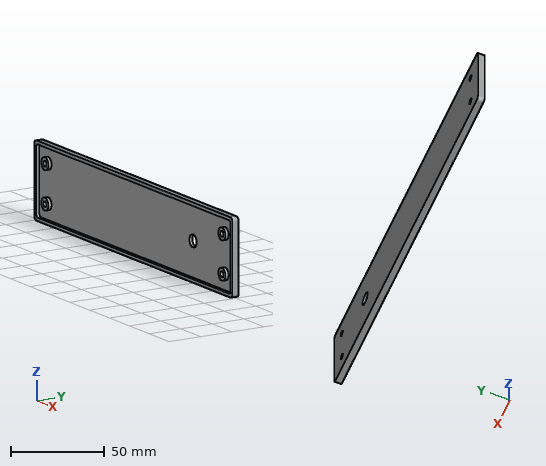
import cadquery as cq

length = 199.6
thickness = 4.0
height = 44.5
corner_radius = 2.0

rim_width = 2.0
recess_depth = 2.0
recess_corner_radius = 1.4

boss_diameter = 7.2
screw_hole_diameter = 3.2
boss_spacing_x = 178.5
boss_spacing_z = 22.4

port_diameter = 7.2
port_x = 56.9

front_y = -thickness / 2
floor_y = front_y + recess_depth


def front_plane(y):
    """Sketch plane parallel to the front face, with its normal toward -Y."""
    return cq.Workplane("XZ", origin=(0, y, 0))


def rounded_block(size_x, size_z, radius, y_back, depth):
    """Block with rounded corners, running from y_back toward the front."""
    return front_plane(y_back).rect(size_x, size_z).extrude(depth).edges("|Y").fillet(radius)


def boss_centers(y):
    """Points at the four boss centers, on the plane at the given depth."""
    return front_plane(y).rect(boss_spacing_x, boss_spacing_z, forConstruction=True).vertices()


plate = rounded_block(length, height, corner_radius, thickness / 2, thickness)
recess = rounded_block(
    length - 2 * rim_width, height - 2 * rim_width, recess_corner_radius, floor_y, recess_depth
)
bosses = boss_centers(floor_y).circle(boss_diameter / 2).extrude(recess_depth)
screw_holes = boss_centers(thickness / 2).circle(screw_hole_diameter / 2).extrude(thickness)
port = front_plane(thickness / 2).center(port_x, 0).circle(port_diameter / 2).extrude(thickness)

result = plate.cut(recess).union(bosses).cut(screw_holes).cut(port)